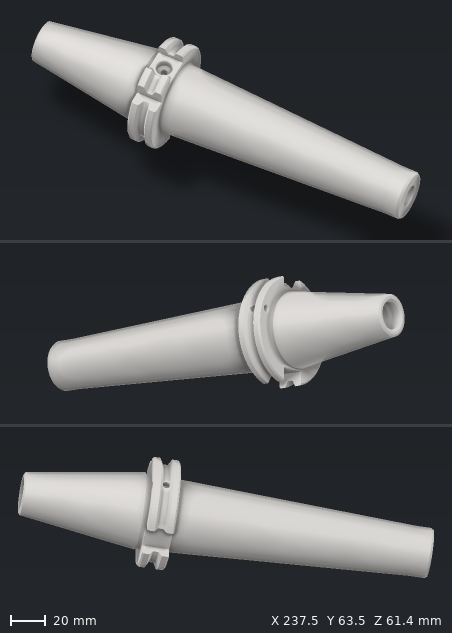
import cadquery as cq
import math

total_length = 237.5

gauge_x = 68.8
gauge_radius = 22.3
taper_slope = 7 / 48
tip_radius = gauge_radius - gauge_x * taper_slope
tip_chamfer_length = 0.7
tip_chamfer_depth = 1.2

flange_front_x = 71.7
flange_width = 15.7
flange_back_x = flange_front_x + flange_width
flange_diameter = 63.5
flange_radius = flange_diameter / 2
flange_chamfer = 1.0
relief_radius = 21.5

flange_fillet = 1.2

groove_x = flange_front_x + 7.8
groove_width = 7.1
groove_floor_radius = 28.3
groove_depth = flange_radius - groove_floor_radius
groove_half_floor = groove_width / 2 - groove_depth * math.tan(math.radians(30))
groove_fillet = 1.0

shank_start_radius = 21.1
nose_radius = 14.5
nose_length = 10.5
nose_chamfer_length = 1.5
nose_chamfer_depth = 1.0

bore_radius = 6.6
pilot_radius = 8.3
pilot_depth = 6.5
pilot_countersink = 1.2

slot_width = 16.1
upper_slot_floor = 24.7
lower_slot_floor = 22.5
notch_y = 18.3
notch_z = 18.0

pocket_diameter = 9.7
pocket_chamfer = 0.5
pocket_depth = 4.5
pocket_drill_diameter = 3.8
pocket_drill_depth = 7.1

coolant_axial_diameter = 3.8
coolant_radial_diameter = 4.3
coolant_chamfer = 0.5
coolant_radius = 26.4
coolant_angle = 19.6

drill_point_half_angle = 59


def revolve_about_x(outline):
    return outline.close().revolve(360, (0, 0, 0), (1, 0, 0))


def make_body():
    """Outer shape: taper, flange and shank in one revolve about X."""
    arc_inset = flange_fillet * (1 - math.sqrt(0.5))
    outline = (
        cq.Workplane("XZ")
        .lineTo(0, tip_radius - tip_chamfer_depth)
        .lineTo(tip_chamfer_length, tip_radius + tip_chamfer_length * taper_slope)
        .lineTo(gauge_x, gauge_radius)
        .lineTo(gauge_x, relief_radius)
        .lineTo(flange_front_x - flange_fillet, relief_radius)
        .threePointArc(
            (flange_front_x - arc_inset, relief_radius + arc_inset),
            (flange_front_x, relief_radius + flange_fillet),
        )
        .lineTo(flange_front_x, flange_radius - flange_chamfer)
        .lineTo(flange_front_x + flange_chamfer, flange_radius)
        .lineTo(groove_x - groove_width / 2, flange_radius)
        .lineTo(groove_x - groove_half_floor, groove_floor_radius)
        .lineTo(groove_x + groove_half_floor, groove_floor_radius)
        .lineTo(groove_x + groove_width / 2, flange_radius)
        .lineTo(flange_back_x - flange_chamfer, flange_radius)
        .lineTo(flange_back_x, flange_radius - flange_chamfer)
        .lineTo(flange_back_x, shank_start_radius + flange_fillet)
        .threePointArc(
            (flange_back_x + arc_inset, shank_start_radius + arc_inset),
            (flange_back_x + flange_fillet, shank_start_radius),
        )
        .lineTo(total_length - nose_length, nose_radius)
        .lineTo(total_length - nose_chamfer_length, nose_radius)
        .lineTo(total_length, nose_radius - nose_chamfer_depth)
        .lineTo(total_length, 0)
    )
    groove_reach = groove_width / 3
    floor_edges = cq.selectors.BoxSelector(
        (groove_x - groove_reach, -2.4, -2.4),
        (groove_x + groove_reach, 2.4, 2.4),
    )
    return revolve_about_x(outline).edges(floor_edges).fillet(groove_fillet)


def make_bore():
    """Through bore with a countersunk pilot at the taper tip."""
    outline = (
        cq.Workplane("XZ")
        .lineTo(0, pilot_radius + pilot_countersink)
        .lineTo(pilot_countersink, pilot_radius)
        .lineTo(pilot_depth, pilot_radius)
        .lineTo(pilot_depth + pilot_radius - bore_radius, bore_radius)
        .lineTo(total_length, bore_radius)
        .lineTo(total_length, 0)
    )
    return revolve_about_x(outline)


def flange_block(y_min, y_max, z_min, z_max):
    """Box as long as the flange and its rear fillet, used to cut the rim."""
    length = flange_width + flange_fillet
    block = cq.Workplane("XY").box(length, y_max - y_min, z_max - z_min, centered=False)
    return block.translate((flange_front_x, y_min, z_min))


def make_slots_and_notch():
    half_slot = slot_width / 2
    upper_slot = flange_block(-half_slot, half_slot, upper_slot_floor, flange_radius)
    lower_slot = flange_block(-half_slot, half_slot, -flange_radius, -lower_slot_floor)
    notch = flange_block(-flange_radius, -notch_y, notch_z, flange_radius)
    return upper_slot.union(lower_slot).union(notch)


def drill(diameter, depth, chamfer):
    """Drilled hole going down from z = 0, with a chamfered mouth and a conical end."""
    radius = diameter / 2
    point_length = radius / math.tan(math.radians(drill_point_half_angle))
    outline = (
        cq.Workplane("XZ")
        .lineTo(radius + chamfer, 0)
        .lineTo(radius, -chamfer)
        .lineTo(radius, -depth)
        .lineTo(0, -depth - point_length)
    )
    return outline.close().revolve(360, (0, 0, 0), (0, 1, 0))


def make_pocket():
    """Flat-bottomed pocket with a smaller drilled hole in its floor."""
    pocket = (
        cq.Workplane("XY")
        .circle(pocket_diameter / 2)
        .extrude(-pocket_depth)
        .faces(">Z")
        .workplane()
        .circle(pocket_diameter / 2 + pocket_chamfer)
        .extrude(-pocket_chamfer, taper=45)
    )
    centre_hole = drill(pocket_drill_diameter, pocket_drill_depth, pocket_chamfer)
    stepped_hole = pocket.union(centre_hole.translate((0, 0, -pocket_depth)))
    return stepped_hole.translate((groove_x, 0, upper_slot_floor))


def make_coolant_hole(angle):
    """Axial hole in the flange face meeting a radial hole from the groove floor."""
    axial = (
        drill(coolant_axial_diameter, groove_x - flange_front_x, coolant_chamfer)
        .rotate((0, 0, 0), (0, 1, 0), -90)
        .translate((flange_front_x, coolant_radius, 0))
    )
    radial_start = coolant_radius - coolant_axial_diameter / 2
    radial = (
        cq.Workplane("XZ", origin=(groove_x, radial_start, 0))
        .circle(coolant_radial_diameter / 2)
        .extrude(radial_start - flange_radius)
    )
    return axial.union(radial).rotate((0, 0, 0), (1, 0, 0), angle)


result = make_body().cut(make_bore()).cut(make_slots_and_notch()).cut(make_pocket())
for hole_angle in (coolant_angle, coolant_angle + 180):
    result = result.cut(make_coolant_hole(hole_angle))